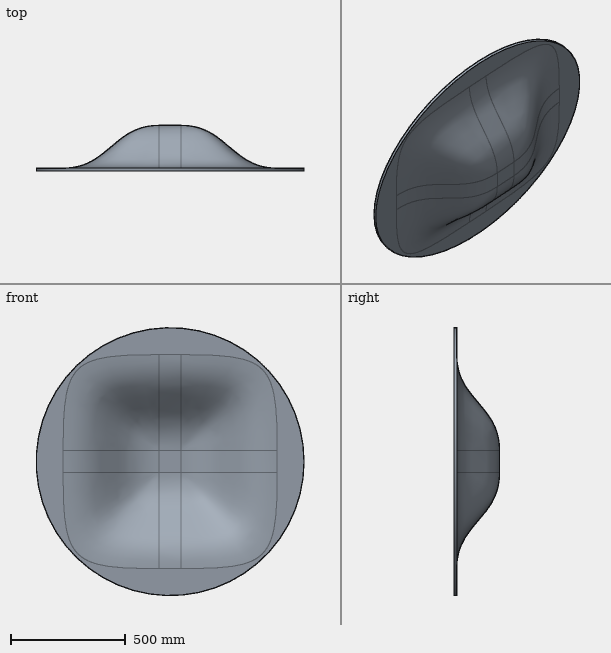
import cadquery as cq

FLANGE_DIAMETER = 1168.4
OVERALL_DEPTH = 199.64
WALL = 12.7
FLOOR_WIDTH = 95.25
OPENING_WIDTH = 933.45

PROFILE_FULLNESS = 0.48
CORNER_FULLNESS = 0.92

SURFACE_SAMPLES = 25
SURFACE_TOLERANCE = 0.02
SURFACE_DEGREE = 3
PLANE_TOLERANCE = 0.001

BOWL_DEPTH = OVERALL_DEPTH - WALL
HALF_FLOOR = FLOOR_WIDTH / 2
WALL_RUN = (OPENING_WIDTH - FLOOR_WIDTH) / 2


def bezier(start, start_handle, end_handle, end, t):
    """Value of a cubic Bezier polynomial at t, from 0 to 1."""
    s = 1 - t
    return s**3 * start + 3 * s**2 * t * start_handle + 3 * s * t**2 * end_handle + t**3 * end


def corner_point(t, u):
    """Point of the +X +Z corner: t runs from the floor to the rim, u around the corner."""
    reach = WALL_RUN * bezier(0, PROFILE_FULLNESS, 1 - PROFILE_FULLNESS, 1, t)
    depth = BOWL_DEPTH * bezier(1, 1, 0, 0, t)
    x_share = bezier(0, CORNER_FULLNESS, 1, 1, u)
    z_share = bezier(1, 1, CORNER_FULLNESS, 0, u)
    return cq.Vector(HALF_FLOOR + reach * x_share, depth, HALF_FLOOR + reach * z_share)


def corner_face():
    """Smooth corner surface, coming to a point at the corner of the floor."""
    steps = [i / (SURFACE_SAMPLES - 1) for i in range(SURFACE_SAMPLES)]
    points = [[corner_point(t, u) for u in steps] for t in steps]
    return cq.Face.makeSplineApprox(
        points, tol=SURFACE_TOLERANCE, minDeg=SURFACE_DEGREE, maxDeg=SURFACE_DEGREE
    )


def band_face(edge, mirror_plane):
    """Straight band between a side edge of a corner surface and the mirror image of that edge."""
    return cq.Face.makeRuledSurface(edge, edge.mirror(mirror_plane))


def floor_face():
    """Flat square at the bottom of the bowl."""
    plane = cq.Workplane("XZ", origin=(0, BOWL_DEPTH, 0))
    return cq.Face.makeFromWires(plane.rect(FLOOR_WIDTH, FLOOR_WIDTH).wires().val())


def opening_face(wall_faces):
    """Flat face closing the bowl at Y = 0, bounded by the rim edges of the wall."""
    edges = [edge for face in wall_faces for edge in face.Edges()]
    rim = [edge for edge in edges if edge.BoundingBox().ymax < PLANE_TOLERANCE]
    return cq.Face.makeFromWires(cq.Wire.combine(rim)[0])


def bowl_solid():
    """Solid that fills the bowl from its opening at Y = 0 to its floor."""
    corner = corner_face()
    right_corners = [corner, corner.mirror("XY")]
    corners = right_corners + [face.mirror("YZ") for face in right_corners]

    right_edge = min(corner.Edges(), key=lambda edge: edge.BoundingBox().zmax)
    upper_edge = min(corner.Edges(), key=lambda edge: edge.BoundingBox().xmax)
    right_band = band_face(right_edge, "XY")
    upper_band = band_face(upper_edge, "YZ")
    bands = [right_band, right_band.mirror("YZ"), upper_band, upper_band.mirror("XY")]

    wall_faces = corners + bands
    shell = cq.Shell.makeShell(wall_faces + [floor_face(), opening_face(wall_faces)])
    return cq.Solid.makeSolid(shell)


bowl = cq.Workplane(bowl_solid())
flange = cq.Workplane("XZ").circle(FLANGE_DIAMETER / 2).extrude(-WALL)
result = flange.union(bowl.translate((0, WALL, 0))).cut(bowl)